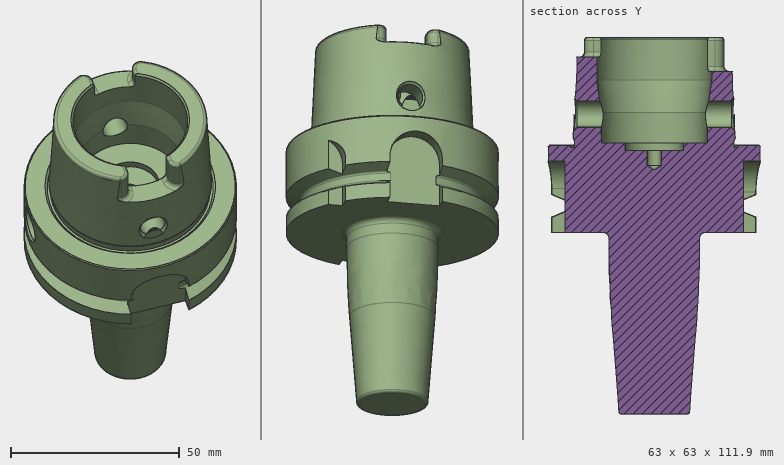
import cadquery as cq
import math

total_height = 111.9
flange_bottom = 53.9
flange_top = 79.9
flange_radius = 31.5
flange_chamfer = 0.3

nose_tip_radius = 10.5
nose_taper = math.radians(4.5)
nose_taper_top = 27.5
nose_blend_top = 49.1
nose_tip_round = 0.9
nose_root_round = 1.7

groove_center = 61.9
groove_mouth_half = 3.4
groove_floor_half = 1.6
groove_floor_radius = 27.4
groove_floor_round = 0.7

taper_bottom = 82.0
taper_bottom_radius = 24.2
taper_top_radius = 22.7
rim_round = 1.0
neck_radius = 23.8
neck_top = 81.2
undercut_outer_radius = 25.3
undercut_floor_radius = 24.6
undercut_depth = 0.7

bore_radius = 17.0
bore_chamfer = 0.6
bore_cone_top = 99.3
bore_cone_bottom = 89.6
lower_bore_radius = 15.7
lower_bore_floor = 80.6
recess_radius = 8.6
recess_depth = 2.2
center_hole_radius = 2.0
center_hole_depth = 4.5
drill_tip_half_angle = math.radians(59)

rim_slot_half_width = 6.3
rim_slot_flare_radius = 2.7
rim_slot_flare_start = 18.0
rim_slot_floor_round = 1.5
left_rim_slot_floor = 106.1
right_rim_slot_floor = 101.8

keyway_floor_distance = 26.5
left_keyway_width = 16.0
right_keyway_width = 18.0
keyway_end_top = 75.1
notch_edge_distance = 20.0

cross_hole_height = 89.1
cross_hole_radius = 3.8
cross_hole_mouth_radius = 4.76
chip_hole_height = 73.1
chip_hole_radius = 4.9
chip_hole_mouth_radius = 5.6
chip_hole_depth = 4.6
chip_center_mark_radius = 0.6
chip_center_mark_depth = 0.6

overrun = 5.6


def revolved(profile):
    """Close a profile drawn as (radius, height) and turn it around the Z axis."""
    return profile.close().revolve(360, (0, 0, 0), (0, 1, 0))


def nose():
    """Tapered nose with a tangent arc between the taper and the cylinder."""
    blend_radius = (nose_blend_top - nose_taper_top) / math.sin(nose_taper)
    taper_end_radius = nose_tip_radius + nose_taper_top * math.tan(nose_taper)
    cylinder_radius = taper_end_radius + blend_radius * (1 - math.cos(nose_taper))
    arc_center = cylinder_radius - blend_radius
    arc_middle = (
        arc_center + blend_radius * math.cos(nose_taper / 2),
        nose_blend_top - blend_radius * math.sin(nose_taper / 2),
    )
    profile = (
        cq.Workplane("YZ")
        .lineTo(nose_tip_radius, 0)
        .lineTo(taper_end_radius, nose_taper_top)
        .threePointArc(arc_middle, (cylinder_radius, nose_blend_top))
        .lineTo(cylinder_radius, flange_bottom - nose_root_round)
        .radiusArc((cylinder_radius + nose_root_round, flange_bottom), nose_root_round)
        .lineTo(cylinder_radius, flange_bottom + overrun)
        .lineTo(0, flange_bottom + overrun)
    )
    return revolved(profile).faces("<Z").edges().fillet(nose_tip_round)


def flange():
    """Flange ring around the core, with its gripper groove and top undercut."""
    ring = revolved(
        cq.Workplane("YZ")
        .moveTo(neck_radius, flange_bottom)
        .lineTo(flange_radius, flange_bottom)
        .lineTo(flange_radius, flange_top - flange_chamfer)
        .lineTo(flange_radius - flange_chamfer, flange_top)
        .lineTo(undercut_outer_radius, flange_top)
        .lineTo(undercut_floor_radius, flange_top - undercut_depth)
        .lineTo(neck_radius, flange_top - undercut_depth)
    )
    groove = revolved(
        cq.Workplane("YZ")
        .moveTo(flange_radius + overrun, groove_center - groove_mouth_half)
        .lineTo(flange_radius, groove_center - groove_mouth_half)
        .lineTo(groove_floor_radius, groove_center - groove_floor_half)
        .lineTo(groove_floor_radius, groove_center + groove_floor_half)
        .lineTo(flange_radius, groove_center + groove_mouth_half)
        .lineTo(flange_radius + overrun, groove_center + groove_mouth_half)
    )
    floor_edges = cq.selectors.RadiusNthSelector(0)
    groove = groove.edges(floor_edges).fillet(groove_floor_round)
    return ring.cut(groove)


def taper():
    """Solid taper on a slightly narrower core that reaches down through the flange."""
    return revolved(
        cq.Workplane("YZ")
        .moveTo(0, flange_bottom)
        .lineTo(neck_radius, flange_bottom)
        .lineTo(neck_radius, neck_top)
        .lineTo(taper_bottom_radius, taper_bottom)
        .lineTo(taper_top_radius, total_height)
        .lineTo(0, total_height)
    )


def bore():
    """Stepped bore, floor recess and drilled centre hole as one cutting body."""
    recess_floor = lower_bore_floor - recess_depth
    hole_bottom = recess_floor - center_hole_depth
    tip_height = center_hole_radius / math.tan(drill_tip_half_angle)
    return revolved(
        cq.Workplane("XZ")
        .moveTo(0, hole_bottom - tip_height)
        .lineTo(center_hole_radius, hole_bottom)
        .lineTo(center_hole_radius, recess_floor)
        .lineTo(recess_radius, recess_floor)
        .lineTo(recess_radius, lower_bore_floor)
        .lineTo(lower_bore_radius, lower_bore_floor)
        .lineTo(lower_bore_radius, bore_cone_bottom)
        .lineTo(bore_radius, bore_cone_top)
        .lineTo(bore_radius, total_height - bore_chamfer)
        .lineTo(bore_radius + bore_chamfer, total_height)
        .lineTo(0, total_height)
    )


def rim_slot(side, floor_height):
    """Slot through the rim towards side * X, flaring outwards around the rim ends."""
    flare_x = rim_slot_flare_start + rim_slot_flare_radius
    flare_y = rim_slot_half_width + rim_slot_flare_radius
    outer_x = taper_bottom_radius + overrun
    outer_y = flare_y + overrun
    arc_reach = rim_slot_flare_radius * math.sin(math.radians(45))
    arc_x = rim_slot_flare_start + arc_reach
    arc_y = flare_y - arc_reach
    slot = (
        cq.Workplane("XY", origin=(0, 0, floor_height))
        .moveTo(0, -rim_slot_half_width)
        .lineTo(side * rim_slot_flare_start, -rim_slot_half_width)
        .threePointArc((side * arc_x, -arc_y), (side * flare_x, -flare_y))
        .lineTo(side * flare_x, -outer_y)
        .lineTo(side * outer_x, -outer_y)
        .lineTo(side * outer_x, outer_y)
        .lineTo(side * flare_x, outer_y)
        .lineTo(side * flare_x, flare_y)
        .threePointArc((side * arc_x, arc_y), (side * rim_slot_flare_start, rim_slot_half_width))
        .lineTo(0, rim_slot_half_width)
        .close()
        .extrude(total_height + overrun - floor_height)
    )
    return slot.faces("<Z").edges().fillet(rim_slot_floor_round)


def hollow_taper():
    """Taper with bore and rim slots, its rim rounded along the outside and the slot walls."""
    body = taper().cut(bore())
    body = body.cut(rim_slot(-1, left_rim_slot_floor))
    body = body.cut(rim_slot(1, right_rim_slot_floor))
    rim_edges = body.faces(">Z").edges()
    bore_edges = rim_edges.edges(cq.selectors.RadiusNthSelector(1))
    return rim_edges.newObject(
        [edge for edge in rim_edges.vals() if not any(edge.isSame(other) for other in bore_edges.vals())]
    ).fillet(rim_round)


def round_ended_slot(side, floor_distance, width, center_y=0):
    """Slot milled along X down to a flat floor, with a round top and open at the bottom."""
    radius = width / 2
    round_center = keyway_end_top - radius
    floor_plane = cq.Plane(
        origin=(side * floor_distance, center_y, round_center),
        xDir=(0, side, 0),
        normal=(side, 0, 0),
    )
    bottom = flange_bottom - round_center
    return (
        cq.Workplane(floor_plane)
        .moveTo(-radius, bottom)
        .lineTo(-radius, 0)
        .threePointArc((0, radius), (radius, 0))
        .lineTo(radius, bottom)
        .close()
        .extrude(flange_radius + overrun - floor_distance)
    )


def chamfered_hole(direction, mouth_distance, height, radius, mouth_radius, depth):
    """Radial hole drilled inwards from a mouth on the surface, with a 45 degree chamfer."""
    outward = cq.Vector(*direction)
    mouth = outward * mouth_distance + cq.Vector(0, 0, height)
    drill = cq.Workplane(cq.Solid.makeCylinder(radius, depth, mouth, -outward))
    chamfer = cq.Workplane(cq.Solid.makeCone(mouth_radius, 0, mouth_radius, mouth, -outward))
    return drill.union(chamfer)


def cross_holes():
    """Cross hole through both walls of the taper along X."""
    rise = (cross_hole_height - taper_bottom) / (total_height - taper_bottom)
    wall_radius = taper_bottom_radius + rise * (taper_top_radius - taper_bottom_radius)
    left, right = [
        chamfered_hole(
            (side, 0, 0),
            wall_radius,
            cross_hole_height,
            cross_hole_radius,
            cross_hole_mouth_radius,
            wall_radius,
        )
        for side in (-1, 1)
    ]
    return left.union(right)


def chip_hole():
    """Blind chip hole in the -Y side of the flange, with a small centre mark in its floor."""
    hole = chamfered_hole(
        (0, -1, 0),
        flange_radius,
        chip_hole_height,
        chip_hole_radius,
        chip_hole_mouth_radius,
        chip_hole_depth,
    )
    mark = cq.Solid.makeCylinder(
        chip_center_mark_radius,
        chip_hole_depth + chip_center_mark_depth,
        cq.Vector(0, -flange_radius, chip_hole_height),
        cq.Vector(0, 1, 0),
    )
    return hole.union(cq.Workplane(mark))


left_keyway = round_ended_slot(-1, keyway_floor_distance, left_keyway_width)
right_keyway = round_ended_slot(1, keyway_floor_distance, right_keyway_width)
orientation_notch = round_ended_slot(
    -1,
    notch_edge_distance,
    left_keyway_width,
    notch_edge_distance + left_keyway_width / 2,
)

flange_cuts = left_keyway.union(right_keyway).union(orientation_notch).union(chip_hole())
slotted_flange = flange().cut(flange_cuts)
drilled_taper = hollow_taper().cut(cross_holes())

result = nose().union(slotted_flange).union(drilled_taper)